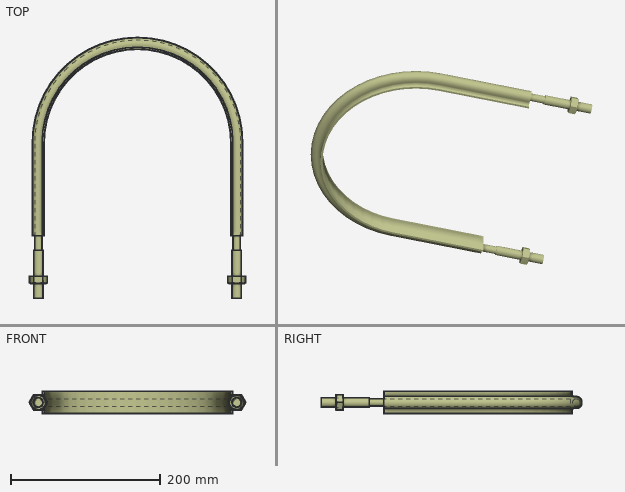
import cadquery as cq
import math

bend_radius = 133.0
overall_length = 349.5

rod_diameter = 10.0
thread_diameter = 12.5
thread_length = 64.5

sleeve_radius = 8.0
band_height = 30.0
band_thickness = 2.8
flare_radius = 2.0
sleeve_end_gap = 84.2

nut_across_flats = 21.0
nut_face_diameter = 20.0
nut_height = 9.8
nut_tip_gap = 20.0
nut_chamfer_angle = 30.0

rod_tip_y = bend_radius + sleeve_radius - overall_length
thread_start_y = rod_tip_y + thread_length
sleeve_end_y = rod_tip_y + sleeve_end_gap
nut_outer_y = rod_tip_y + nut_tip_gap

band_outer_x = bend_radius - rod_diameter / 2
band_inner_x = band_outer_x - band_thickness


def section_plane(side, y):
    """XZ plane at the given Y: local x points away from the middle, normal along Y."""
    return cq.Plane(origin=(0, y, 0), xDir=(side, 0, 0), normal=(0, -1, 0))


def leg_cylinder(side, start_y, length, diameter):
    """Cylinder on one leg axis, running from start_y toward -Y."""
    axis_start = cq.Vector(side * bend_radius, start_y, 0)
    return cq.Workplane(cq.Solid.makeCylinder(diameter / 2, length, axis_start, cq.Vector(0, -1, 0)))


def u_sweep(draw_profile, leg_end_y):
    """Half revolution of a profile, with both ends extended straight to leg_end_y."""
    profile = draw_profile(cq.Workplane(section_plane(1, 0)))
    body = profile.revolve(180, (0, 0, 0), (0, 1, 0))
    for side in (1, -1):
        leg = draw_profile(cq.Workplane(section_plane(side, 0))).extrude(-leg_end_y)
        body = body.union(leg)
    return body


def rod_profile(plane):
    return plane.moveTo(bend_radius, 0).circle(rod_diameter / 2)


def sleeve_profile(plane):
    """Band with a round-nosed ridge and concave flares where the ridge meets the band."""
    half_height = band_height / 2
    flare_x = band_outer_x + flare_radius
    flare_z = sleeve_radius + flare_radius
    flare_mid_offset = flare_radius * (1 - math.sqrt(0.5))
    mid_x = band_outer_x + flare_mid_offset
    mid_z = sleeve_radius + flare_mid_offset
    return (
        plane.moveTo(band_inner_x, -half_height)
        .lineTo(band_outer_x, -half_height)
        .lineTo(band_outer_x, -flare_z)
        .threePointArc((mid_x, -mid_z), (flare_x, -sleeve_radius))
        .lineTo(bend_radius, -sleeve_radius)
        .threePointArc((bend_radius + sleeve_radius, 0), (bend_radius, sleeve_radius))
        .lineTo(flare_x, sleeve_radius)
        .threePointArc((mid_x, mid_z), (band_outer_x, flare_z))
        .lineTo(band_outer_x, half_height)
        .lineTo(band_inner_x, half_height)
        .close()
    )


def make_rod():
    rod = u_sweep(rod_profile, thread_start_y)
    for side in (1, -1):
        rod = rod.union(leg_cylinder(side, thread_start_y, thread_length, thread_diameter))
    return rod


def make_sleeve():
    bore = u_sweep(rod_profile, sleeve_end_y)
    return u_sweep(sleeve_profile, sleeve_end_y).cut(bore)


def make_nut(side):
    """Hexagon nut with corners along X and its outer (-Y) face chamfered."""
    across_corners = nut_across_flats / math.cos(math.radians(30))
    inner_y = nut_outer_y + nut_height
    nut = (
        cq.Workplane(section_plane(side, inner_y))
        .center(bend_radius, 0)
        .polygon(6, across_corners)
        .extrude(nut_height)
    )
    corner_radius = across_corners / 2
    corner_overhang = corner_radius - nut_face_diameter / 2
    chamfer_depth = corner_overhang * math.tan(math.radians(nut_chamfer_angle))
    envelope = leg_cylinder(side, inner_y, nut_height, across_corners)
    envelope = envelope.faces("<Y").chamfer(chamfer_depth, corner_overhang)
    hole = leg_cylinder(side, inner_y, nut_height, thread_diameter)
    return nut.intersect(envelope).cut(hole)


rod = make_rod()
sleeve = make_sleeve()
nuts = [make_nut(side) for side in (1, -1)]

result = cq.Compound.makeCompound([rod.val(), sleeve.val(), *[nut.val() for nut in nuts]])